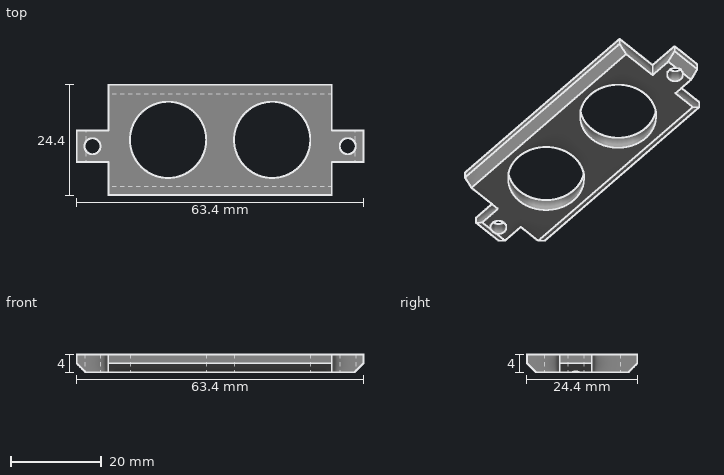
import cadquery as cq

plate_length = 49.4
plate_width = 24.4
thickness = 4.0
bevel = 2.0

tab_size = 7.0
tab_center_y = -1.4
screw_hole_diameter = 3.5

opening_diameter = 16.8
opening_spacing = 23.0

overall_length = plate_length + 2 * tab_size
screw_hole_spacing = plate_length + tab_size


def make_plate():
    """Body with both long lower edges bevelled."""
    plate = cq.Workplane("XY").box(plate_length, plate_width, thickness, centered=(True, True, False))
    return plate.faces("<Z").edges("|X").chamfer(bevel)


def make_tab_bar():
    """Bar running through the plate; its ends are the tabs, bevelled underneath."""
    bar = cq.Workplane("XY").box(overall_length, tab_size, thickness, centered=(True, True, False))
    bar = bar.faces("<Z").edges("|Y").chamfer(bevel)
    return bar.translate((0, tab_center_y, 0))


def make_hole_pair(diameter, spacing, center_y):
    """Two through-hole cutters, mirrored about the middle of the plate."""
    centers = [(-spacing / 2, center_y), (spacing / 2, center_y)]
    return cq.Workplane("XY").pushPoints(centers).circle(diameter / 2).extrude(thickness)


openings = make_hole_pair(opening_diameter, opening_spacing, 0)
screw_holes = make_hole_pair(screw_hole_diameter, screw_hole_spacing, tab_center_y)

result = make_plate().union(make_tab_bar()).cut(openings).cut(screw_holes)